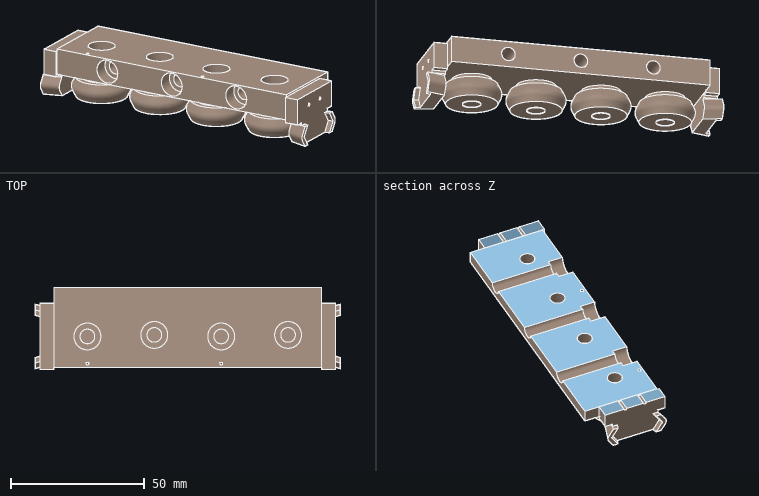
import cadquery as cq

total_length = 114.0
block_length = 100.0
block_width = 30.0
block_height = 10.0
block_top = 19.7
block_bottom = block_top - block_height
block_front = -11.6

wheel_pitch = block_length / 4
wheel_offset_y = 0.6
wheel_places = [
    (-1.5 * wheel_pitch, 0),
    (-0.5 * wheel_pitch, wheel_offset_y),
    (0.5 * wheel_pitch, 0),
    (1.5 * wheel_pitch, wheel_offset_y),
]
wheel_bore = 5.5
wheel_counterbore = 10.0
wheel_counterbore_depth = 4.2

mount_pitch = 28.0
mount_hole = 5.2
mount_counterbore = 9.0
mount_counterbore_depth = 5.8
mount_z = (block_top + block_bottom) / 2

oil_hole = 1.0
oil_hole_y = -10.1

rim_mid_z = 3.93
rim_half_edge = 1.2

hub_radius = 15.0 / 2
wheel_top = 7.6
wheel_bottom = 2 * rim_mid_z - wheel_top
wheel_face_radius = 9.8
wheel_edge_radius = 11.1
wheel_tip_radius = 11.3
boss_radius = 7.0 / 2

cap_thickness = 5.2
cap_half_width = 12.4
cap_top = 18.9
cap_bottom = 8.9
neck_half_width = 9.5
wing_top = 2 * rim_mid_z
wing_flare = 0.3
wing_face_half = 9.9
wing_edge_half = 11.7
wing_tip_half = 12.1
lip_width = 2.0
cap_screw_hole = 1.0
cap_screw_half_pitch = 4.0
cap_screw_z = 14.5


def make_block():
    """Carriage block with wheel seats, mounting holes and oil holes."""
    block = cq.Workplane("XY").box(
        block_length, block_width, block_height, centered=(True, False, False)
    ).translate((0, block_front, block_bottom))
    top = cq.Workplane("XY", origin=(0, 0, block_top))
    bores = top.pushPoints(wheel_places).circle(wheel_bore / 2).extrude(-block_height)
    seats = top.pushPoints(wheel_places).circle(wheel_counterbore / 2).extrude(-wheel_counterbore_depth)
    oil_places = [(x, oil_hole_y) for x, offset in wheel_places if offset == 0]
    oil_holes = top.pushPoints(oil_places).circle(oil_hole / 2).extrude(-block_height)
    front = cq.Workplane("XZ", origin=(0, block_front, mount_z))
    mount_places = [(i * mount_pitch, 0) for i in (-1, 0, 1)]
    mounts = front.pushPoints(mount_places).circle(mount_hole / 2).extrude(-block_width)
    mount_seats = front.pushPoints(mount_places).circle(mount_counterbore / 2).extrude(-mount_counterbore_depth)

    for cutter in (bores, seats, oil_holes, mounts, mount_seats):
        block = block.cut(cutter)
    return block


def make_wheel(x, y):
    """One wheel with its hub against the block and a low boss underneath."""
    profile = (
        cq.Workplane("XZ")
        .moveTo(0, 0)
        .lineTo(boss_radius, 0)
        .lineTo(boss_radius, wheel_bottom)
        .lineTo(wheel_face_radius, wheel_bottom)
        .lineTo(wheel_edge_radius, rim_mid_z - rim_half_edge)
        .threePointArc((wheel_tip_radius, rim_mid_z), (wheel_edge_radius, rim_mid_z + rim_half_edge))
        .lineTo(wheel_face_radius, wheel_top)
        .lineTo(hub_radius, wheel_top)
        .lineTo(hub_radius, block_bottom)
        .lineTo(0, block_bottom)
        .close()
    )
    return profile.revolve(360, (0, 0, 0), (0, 1, 0)).translate((x, y, 0))


def flare_shift(x):
    """How far the wing sides lie inside their places on the outer end face."""
    return wing_flare * (x + total_length / 2)


def wing_section(x):
    """Closed outline of both wings at X = x, with rounded tips."""
    shift = flare_shift(x)
    face = wing_face_half - shift
    edge = wing_edge_half - shift
    tip = wing_tip_half - shift
    low = rim_mid_z - rim_half_edge
    high = rim_mid_z + rim_half_edge
    return (
        cq.Workplane("YZ", origin=(x, 0, 0))
        .moveTo(face, 0)
        .lineTo(edge, low)
        .threePointArc((tip, rim_mid_z), (edge, high))
        .lineTo(face, wing_top)
        .lineTo(-face, wing_top)
        .lineTo(-edge, high)
        .threePointArc((-tip, rim_mid_z), (-edge, low))
        .lineTo(-face, 0)
        .close()
        .val()
    )


def recess_section(x):
    """Outline at X = x of the recess between the lips, whose sides run parallel to the wing slopes."""
    side_slope = (wing_edge_half - wing_face_half) / (rim_mid_z - rim_half_edge)
    face = wing_face_half - lip_width - flare_shift(x)
    vertex = face + side_slope * rim_mid_z
    right_side = [(face, 0), (vertex, rim_mid_z), (face, wing_top)]
    left_side = [(-y, z) for y, z in reversed(right_side)]
    return cq.Workplane("YZ", origin=(x, 0, 0)).polyline(right_side + left_side).close().val()


def loft_between(section, x_start, x_end):
    """Straight-sided solid between the sections at two X stations."""
    return cq.Workplane(cq.Solid.makeLoft([section(x_start), section(x_end)], True))


def make_left_cap():
    """End cap on the -X end of the block."""
    inner_x = -block_length / 2
    outer_x = inner_x - cap_thickness
    plate = cq.Workplane("XY").box(
        cap_thickness, 2 * cap_half_width, cap_top - cap_bottom, centered=(False, True, False)
    ).translate((outer_x, 0, cap_bottom))
    neck = cq.Workplane("XY").box(
        cap_thickness, 2 * neck_half_width, cap_bottom - wing_top, centered=(False, True, False)
    ).translate((outer_x, 0, wing_top))
    wings = loft_between(wing_section, -total_length / 2, inner_x)
    recess = loft_between(recess_section, -total_length / 2, outer_x)
    screw_holes = (
        cq.Workplane("YZ", origin=(outer_x, 0, cap_screw_z))
        .pushPoints([(-cap_screw_half_pitch, 0), (cap_screw_half_pitch, 0)])
        .circle(cap_screw_hole / 2)
        .extrude(cap_thickness)
    )
    return plate.union(neck).union(wings.cut(recess)).cut(screw_holes)


block = make_block()
wheels = [make_wheel(x, y).val() for x, y in wheel_places]
left_cap = make_left_cap()
right_cap = left_cap.mirror("YZ")

result = cq.Compound.makeCompound([block.val(), left_cap.val(), right_cap.val(), *wheels])